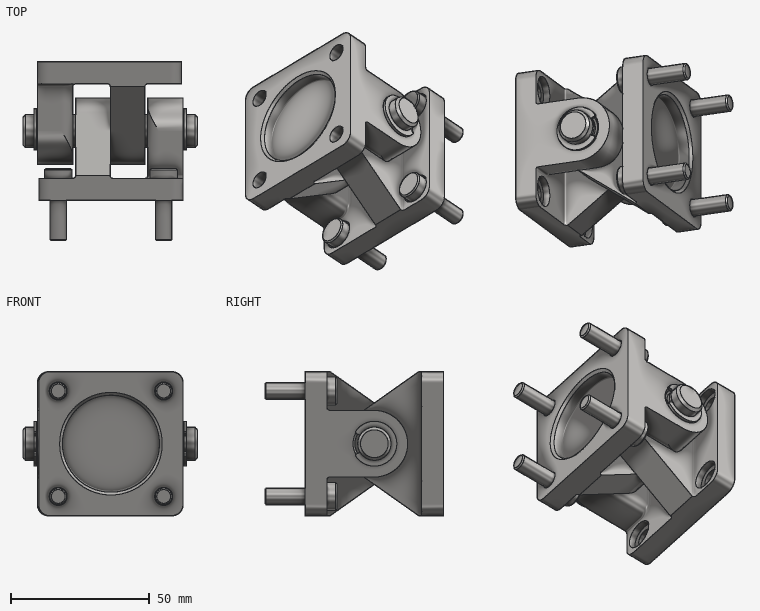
import cadquery as cq
import math


PLATE_SIZE = 52.0
PLATE_THICKNESS = 8.0
PLATE_BACK_Y = 25.0
PLATE_CORNER_RADIUS = 4.0
PLATE_OFFSET_X = -0.25
PLATE_FRONT_Y = PLATE_BACK_Y - PLATE_THICKNESS
PLATE_OUTER_X = PLATE_OFFSET_X - PLATE_SIZE / 2

LUG_RADIUS = 12.0
LUG_THICKNESS = 12.75
LUG_EDGE_RADIUS = 4.0
RIB_THICKNESS = 12.5
ROOT_FILLET = 1.0
SELECT_MARGIN = 0.1

PIN_DIAMETER = 12.0
PIN_LENGTH = 63.0
PIN_CHAMFER = 1.0
LUG_BORE_RECESS_DIAMETER = 14.0
LUG_BORE_RECESS_DEPTH = 1.0
LUG_BORE_CHAMFER = 0.7

RING_THICKNESS = 1.0
RING_GAP_TO_LUG = 0.25
RING_DIAMETER = 16.2
GROOVE_DIAMETER = 10.0
RING_THROAT_HALF_WIDTH = 2.75
RING_TIP_HALF_WIDTH = 3.7
RING_TIP_Y = -6.6
RING_LIP_HALF_WIDTH = 4.4

RECESS_DIAMETER = 35.0
RECESS_DEPTH = 5.0
RECESS_RIM_CHAMFER = 1.0
RECESS_FLOOR_FILLET = 0.5

HOLE_OFFSET = 19.0
SCREW_DIAMETER = 6.0
SCREW_LENGTH = 20.0
SCREW_TIP_CHAMFER = 0.5
SCREW_HEAD_DIAMETER = 10.0
SCREW_HEAD_HEIGHT = 6.0
SCREW_HEAD_CHAMFER = 0.5
SCREW_HOLE_DIAMETER = 6.5
COUNTERBORE_DIAMETER = 11.0
COUNTERBORE_DEPTH = 2.5
SCREW_SEAT_Y = PLATE_FRONT_Y + COUNTERBORE_DEPTH

HOLE_POSITIONS = [
    (PLATE_OFFSET_X + side * HOLE_OFFSET, level * HOLE_OFFSET)
    for side in (-1, 1)
    for level in (-1, 1)
]


def x_cylinder(diameter, start_x, length):
    """Cylinder on the pin axis, running from start_x towards +X."""
    return cq.Workplane("YZ", origin=(start_x, 0, 0)).circle(diameter / 2).extrude(length)


def y_cylinder(diameter, start_y, length, x=0.0, z=0.0):
    """Cylinder along Y, running from start_y towards +Y."""
    return cq.Workplane("XZ", origin=(x, start_y, z)).circle(diameter / 2).extrude(-length)


def make_plate():
    plate = cq.Workplane("XY").box(PLATE_SIZE, PLATE_THICKNESS, PLATE_SIZE)
    plate = plate.edges("|Y").fillet(PLATE_CORNER_RADIUS)
    return plate.translate((PLATE_OFFSET_X, PLATE_BACK_Y - PLATE_THICKNESS / 2, 0))


def make_outer_lug():
    """Round-ended lug flush with the plate side, its two inner edges rounded along Y."""
    length = PLATE_FRONT_Y + LUG_RADIUS
    bar = cq.Workplane("XY").box(LUG_THICKNESS, length, 2 * LUG_RADIUS)
    bar = bar.edges("|Y and >X").fillet(LUG_EDGE_RADIUS)
    bar = bar.translate((PLATE_OUTER_X + LUG_THICKNESS / 2, PLATE_FRONT_Y - length / 2, 0))
    round_end = (
        cq.Workplane("YZ", origin=(PLATE_OUTER_X, 0, 0))
        .moveTo(PLATE_FRONT_Y, LUG_RADIUS)
        .lineTo(0, LUG_RADIUS)
        .threePointArc((-LUG_RADIUS, 0), (0, -LUG_RADIUS))
        .lineTo(PLATE_FRONT_Y, -LUG_RADIUS)
        .close()
        .extrude(LUG_THICKNESS)
    )
    return bar.intersect(round_end)


def make_rib():
    """Centre lug that widens from its round end to the full plate height."""
    root_y = PLATE_FRONT_Y - ROOT_FILLET
    root_z = PLATE_SIZE / 2
    tangent_angle = math.atan2(root_z, root_y) + math.acos(LUG_RADIUS / math.hypot(root_y, root_z))
    tangent_y = LUG_RADIUS * math.cos(tangent_angle)
    tangent_z = LUG_RADIUS * math.sin(tangent_angle)
    return (
        cq.Workplane("YZ")
        .moveTo(PLATE_FRONT_Y, root_z)
        .lineTo(root_y, root_z)
        .lineTo(tangent_y, tangent_z)
        .threePointArc((-LUG_RADIUS, 0), (tangent_y, -tangent_z))
        .lineTo(root_y, -root_z)
        .lineTo(PLATE_FRONT_Y, -root_z)
        .close()
        .extrude(RIB_THICKNESS)
    )


def fillet_roots(body):
    """Round the corners where the lug and the rib rise from the plate."""
    low_y = PLATE_FRONT_Y - SELECT_MARGIN
    high_y = PLATE_FRONT_Y + SELECT_MARGIN
    lug_z = LUG_RADIUS + SELECT_MARGIN
    lug_roots = cq.selectors.BoxSelector(
        (PLATE_OUTER_X + SELECT_MARGIN, low_y, -lug_z),
        (PLATE_OUTER_X + LUG_THICKNESS + SELECT_MARGIN, high_y, lug_z),
    )
    rib_roots = cq.selectors.BoxSelector(
        (-SELECT_MARGIN, low_y, -SELECT_MARGIN),
        (RIB_THICKNESS + SELECT_MARGIN, high_y, SELECT_MARGIN),
    )
    return body.edges(lug_roots + rib_roots).fillet(ROOT_FILLET)


def make_back_recess():
    """Cutter for the round locating recess in the back of the plate."""
    recess = y_cylinder(RECESS_DIAMETER, PLATE_BACK_Y - RECESS_DEPTH, RECESS_DEPTH)
    recess = recess.faces("<Y").edges().fillet(RECESS_FLOOR_FILLET)
    rim = cq.Solid.makeCone(
        RECESS_DIAMETER / 2,
        RECESS_DIAMETER / 2 + RECESS_RIM_CHAMFER,
        RECESS_RIM_CHAMFER,
        cq.Vector(0, PLATE_BACK_Y - RECESS_RIM_CHAMFER, 0),
        cq.Vector(0, 1, 0),
    )
    return recess.union(cq.Workplane(rim)).translate((PLATE_OFFSET_X, 0, 0))


def make_bracket():
    body = make_plate().union(make_outer_lug()).union(make_rib())
    body = fillet_roots(body)

    body = body.cut(make_back_recess())
    for x, z in HOLE_POSITIONS:
        body = body.cut(y_cylinder(SCREW_HOLE_DIAMETER, PLATE_FRONT_Y, PLATE_THICKNESS, x, z))
        counterbore_length = COUNTERBORE_DEPTH + ROOT_FILLET
        counterbore_start = PLATE_FRONT_Y - ROOT_FILLET
        body = body.cut(y_cylinder(COUNTERBORE_DIAMETER, counterbore_start, counterbore_length, x, z))

    body = body.cut(x_cylinder(PIN_DIAMETER, PLATE_OUTER_X, PLATE_SIZE))
    body = body.cut(x_cylinder(LUG_BORE_RECESS_DIAMETER, PLATE_OUTER_X, LUG_BORE_RECESS_DEPTH))
    lead_in = cq.Solid.makeCone(
        LUG_BORE_RECESS_DIAMETER / 2 + LUG_BORE_CHAMFER,
        LUG_BORE_RECESS_DIAMETER / 2,
        LUG_BORE_CHAMFER,
        cq.Vector(PLATE_OUTER_X, 0, 0),
        cq.Vector(1, 0, 0),
    )
    return body.cut(cq.Workplane(lead_in))


def turned_half(body):
    return body.rotate((0, 0, 0), (0, 0, 1), 180)


RING_START_X = PLATE_OUTER_X - RING_GAP_TO_LUG - RING_THICKNESS
RING_STARTS = (RING_START_X, -RING_START_X - RING_THICKNESS)


def make_pin():
    pin = x_cylinder(PIN_DIAMETER, -PIN_LENGTH / 2, PIN_LENGTH)
    pin = pin.faces("<X or >X").chamfer(PIN_CHAMFER)
    for start_x in RING_STARTS:
        collar = x_cylinder(PIN_DIAMETER, start_x, RING_THICKNESS)
        core = x_cylinder(GROOVE_DIAMETER, start_x, RING_THICKNESS)
        pin = pin.cut(collar.cut(core))
    return pin


def make_ring(start_x):
    """Open retaining ring seated in a pin groove, its mouth towards -Y."""
    disc = x_cylinder(RING_DIAMETER, start_x, RING_THICKNESS)
    disc = disc.cut(x_cylinder(GROOVE_DIAMETER, start_x, RING_THICKNESS))
    ring_radius = RING_DIAMETER / 2
    throat_y = -math.sqrt((GROOVE_DIAMETER / 2) ** 2 - RING_THROAT_HALF_WIDTH ** 2)
    lip_y = -math.sqrt(ring_radius ** 2 - RING_LIP_HALF_WIDTH ** 2)
    mouth = (
        cq.Workplane("YZ", origin=(start_x, 0, 0))
        .moveTo(0, 0)
        .lineTo(throat_y, RING_THROAT_HALF_WIDTH)
        .lineTo(RING_TIP_Y, RING_TIP_HALF_WIDTH)
        .lineTo(lip_y, RING_LIP_HALF_WIDTH)
        .threePointArc((-ring_radius, 0), (lip_y, -RING_LIP_HALF_WIDTH))
        .lineTo(RING_TIP_Y, -RING_TIP_HALF_WIDTH)
        .lineTo(throat_y, -RING_THROAT_HALF_WIDTH)
        .close()
        .extrude(RING_THICKNESS)
    )
    return disc.cut(mouth)


def make_screw(x, z):
    """Cap screw of the front bracket, pointing towards -Y."""
    shank = y_cylinder(SCREW_DIAMETER, -SCREW_SEAT_Y - SCREW_LENGTH, SCREW_LENGTH, x, z)
    shank = shank.faces("<Y").chamfer(SCREW_TIP_CHAMFER)
    head = y_cylinder(SCREW_HEAD_DIAMETER, -SCREW_SEAT_Y, SCREW_HEAD_HEIGHT, x, z)
    head = head.faces(">Y").chamfer(SCREW_HEAD_CHAMFER)
    return shank.union(head)


rear_bracket = make_bracket()
front_bracket = turned_half(rear_bracket)
pin = make_pin()
rings = [make_ring(start_x) for start_x in RING_STARTS]
screws = [make_screw(-x, z) for x, z in HOLE_POSITIONS]

result = cq.Compound.makeCompound(
    [rear_bracket.val(), front_bracket.val(), pin.val()]
    + [ring.val() for ring in rings]
    + [screw.val() for screw in screws]
)